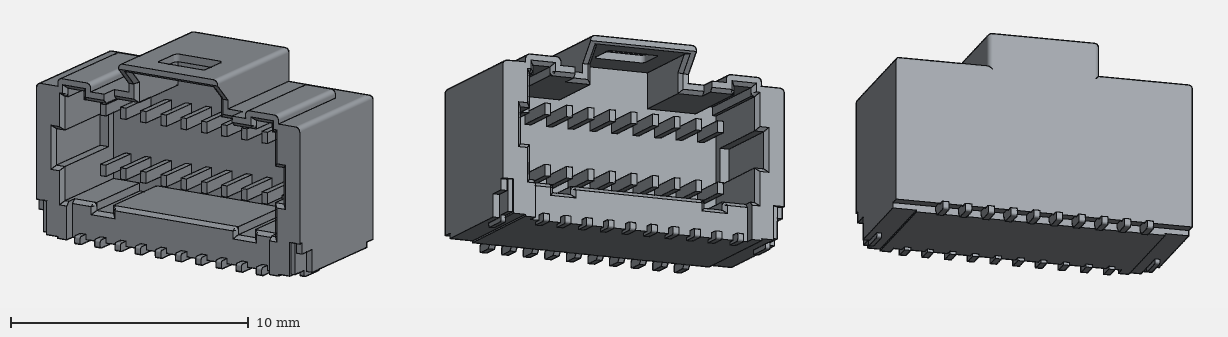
import cadquery as cq

width = 13.0
depth = 5.9
overall_depth = 6.5
overall_height = 8.25
body_top = 6.8
side_bottom = 0.21
centre_bottom = 0.13
centre_half_width = 5.46
edge_radius = 0.21
mouth_bevel = 0.17

front_recess_half_width = 5.0
front_recess_depth = 0.47
rear_step_depth = 0.5
rear_step_top = 0.44

cavity_half_width = 5.2
cavity_depth = 4.1
cavity_floor = 1.78
cavity_top = 6.36
floor_groove_inner = 3.08
floor_groove_outer = 3.91
floor_groove_bottom = 1.43
top_groove_inner = 4.25
top_groove_outer = 5.05
top_groove_top = 6.73
side_groove_outer = 5.62
side_groove_bottom = 3.28
side_groove_top = 4.88
side_groove_depth = 3.69

rail_inner = 3.82
rail_outer = 5.45
rail_top = 7.16
rail_length = 4.59

hood_half_width = 2.45
hood_inner_half_width = 2.03
hood_inner_top = 7.92
hood_lip_thickness = 0.25
cutout_half_width = 3.16
cutout_depth = 0.82
window_half_width = 1.16
window_front = 1.03
window_rear = 2.54
window_front_radius = 0.12
window_rear_radius = 0.21

contact_count = 10
contact_span = 8.97
contact_pitch = contact_span / (contact_count - 1)
contact_width = 0.27
pin_height = 0.5
pin_row_bottoms = (2.5, 5.15)
pin_tip = 2.08
foot_height = 0.36
foot_radius = 0.1
front_foot_length = 0.82
rear_foot_flat_end = 5.64
rear_foot_shoulder = 6.0
rear_foot_bend_height = 0.26

nail_inset = 0.29
nail_thickness = 0.21
nail_setback = 0.09
nail_top = 1.69
nail_foot_start = 0.82
nail_foot_end = 2.08
nail_foot_height = 0.29
corner_recess_depth = 1.0
corner_recess_top = 1.21
corner_slot_depth = 0.2


def block(x_range, y_range, z_range):
    """Box spanning the given (low, high) ranges."""
    size = [high - low for low, high in (x_range, y_range, z_range)]
    corner = (x_range[0], y_range[0], z_range[0])
    return cq.Workplane("XY").box(*size, centered=False).translate(corner)


def both_sides(solid):
    """The solid together with its mirror image across X = 0."""
    return solid.union(solid.mirror("YZ"))


def cavity_outline(y):
    """Cavity outline, without the side grooves, on the plane at the given Y."""
    right_half = [
        (floor_groove_inner, cavity_floor),
        (floor_groove_inner, floor_groove_bottom),
        (floor_groove_outer, floor_groove_bottom),
        (floor_groove_outer, cavity_floor),
        (cavity_half_width, cavity_floor),
        (cavity_half_width, cavity_top),
        (top_groove_outer, cavity_top),
        (top_groove_outer, top_groove_top),
        (top_groove_inner, top_groove_top),
        (top_groove_inner, cavity_top),
    ]
    left_half = [(-x, z) for x, z in reversed(right_half)]
    return cq.Workplane("XZ", origin=(0, y, 0)).polyline(right_half + left_half).close()


def side_groove_outline(y):
    """Rectangle joining both side grooves, on the plane at the given Y."""
    height = side_groove_top - side_groove_bottom
    middle = (side_groove_top + side_groove_bottom) / 2
    return cq.Workplane("XZ", origin=(0, y, middle)).rect(2 * side_groove_outer, height)


def bevel_cutter(outline):
    """Cutter as wide as the bevel at its outline plane, narrowing at 45 degrees towards +Y."""
    return outline.offset2D(mouth_bevel, "intersection").extrude(-mouth_bevel, taper=45)


def make_shell():
    """Outer body with the hood and the guide rails, still solid inside."""
    half = width / 2
    body = block((-half, half), (0, depth), (side_bottom, body_top))
    body = body.edges("(|Y and >Z) or (>Y and >Z)").fillet(edge_radius)
    hood = block((-hood_half_width, hood_half_width), (0, depth), (cavity_floor, overall_height))
    hood = hood.edges("(|Y and >Z) or (|Z and >Y) or (>Y and >Z)").fillet(edge_radius)
    rail = block((rail_inner, rail_outer), (0, rail_length), (cavity_top, rail_top))
    rail = rail.edges("|Y and >Z").fillet(edge_radius)
    centre = block(
        (-centre_half_width, centre_half_width), (0, depth), (centre_bottom, cavity_floor)
    )
    rear_step = block((-half, half), (depth - rear_step_depth, depth), (0, rear_step_top))
    return body.union(hood).union(both_sides(rail)).union(centre).cut(rear_step)


def cut_cavity(shell):
    """Open the cavity, the hood interior and the recessed front."""
    hood_room = block(
        (-hood_inner_half_width, hood_inner_half_width),
        (0, cavity_depth),
        (cavity_floor, hood_inner_top),
    )
    front_recess = block(
        (-front_recess_half_width, front_recess_half_width),
        (0, front_recess_depth),
        (0, (cavity_floor + cavity_top) / 2),
    )
    lip_bottom = overall_height - hood_lip_thickness
    top_cutout = (
        cq.Workplane("YZ")
        .polyline([
            (0, cavity_floor),
            (0, lip_bottom),
            (cutout_depth, lip_bottom - cutout_depth),
            (cutout_depth, cavity_floor),
        ])
        .close()
        .extrude(cutout_half_width, both=True)
    )
    shell = shell.cut(cavity_outline(0).extrude(-cavity_depth))
    shell = shell.cut(side_groove_outline(0).extrude(-side_groove_depth))
    return shell.cut(hood_room).cut(front_recess).cut(top_cutout)


def both_edge_groups(low, high):
    """Selector for edges centred in the box from low to high or in its mirror image across X = 0."""
    right, left = [
        cq.selectors.BoxSelector((side * low[0], *low[1:]), (side * high[0], *high[1:]))
        for side in (1, -1)
    ]
    return right + left


def bevel_mouth(shell):
    """Lead-in bevels around the cavity mouth, the recessed front wall and the hood opening."""
    bevel_end = cutout_depth + mouth_bevel
    hood_edges = both_edge_groups(
        (hood_inner_half_width - mouth_bevel, 0, cavity_top - mouth_bevel),
        (hood_inner_half_width + mouth_bevel, bevel_end, hood_inner_top),
    )
    cutout_edges = both_edge_groups(
        (hood_inner_half_width, cutout_depth - mouth_bevel, cavity_top - mouth_bevel),
        (cutout_half_width - mouth_bevel, bevel_end, cavity_top + mouth_bevel),
    )
    shell = shell.edges(hood_edges + cutout_edges).chamfer(mouth_bevel)
    recessed_floor = block(
        (-front_recess_half_width, front_recess_half_width), (0, depth), (0, side_groove_bottom)
    )
    for outline in (cavity_outline(0), side_groove_outline(0)):
        shell = shell.cut(bevel_cutter(outline))
    floor_bevel = bevel_cutter(cavity_outline(front_recess_depth)).intersect(recessed_floor)
    return shell.cut(floor_bevel)


def make_window():
    """Latch window through the hood roof."""
    window = block(
        (-window_half_width, window_half_width),
        (window_front, window_rear),
        (cavity_top, overall_height),
    )
    window = window.edges("|Z and <Y").fillet(window_front_radius)
    return window.edges("|Z and >Y").fillet(window_rear_radius)


def make_contact():
    """One contact position at X = 0: two pins, a front foot and a rear foot."""
    x_range = (-contact_width / 2, contact_width / 2)
    front_foot = block(x_range, (0, front_foot_length), (0, foot_height))
    front_foot = front_foot.edges("|X and <Y").fillet(foot_radius)
    rear_foot = (
        cq.Workplane("YZ")
        .polyline([
            (overall_depth, 0),
            (overall_depth, foot_height),
            (rear_foot_shoulder, foot_height),
            (depth, rear_step_top),
            (depth - rear_step_depth, rear_step_top),
            (depth - rear_step_depth, rear_foot_bend_height),
            (rear_foot_flat_end, 0),
        ])
        .close()
        .extrude(contact_width / 2, both=True)
    )
    contact = front_foot.union(rear_foot.edges("|X and >Y").fillet(foot_radius))
    for bottom in pin_row_bottoms:
        pin = block(x_range, (pin_tip, depth - edge_radius), (bottom, bottom + pin_height))
        contact = contact.union(pin)
    return contact


def make_corner_recess():
    """Relief in the right lower corner that exposes the solder nail."""
    half = width / 2
    x_range = (half - nail_inset - nail_thickness, half)
    recess = block(x_range, (0, corner_recess_depth), (0, corner_recess_top))
    return recess.union(block(x_range, (0, corner_slot_depth), (0, nail_top)))


def make_nail():
    """Right solder nail: an upright plate with a foot behind its lower notch."""
    outer = width / 2 - nail_inset
    x_range = (outer - nail_thickness, outer)
    plate = block(x_range, (nail_setback, nail_foot_end), (nail_foot_height, nail_top))
    foot = block(x_range, (nail_foot_start, nail_foot_end), (0, nail_foot_height))
    foot = foot.faces("<Z").edges("|X").fillet(foot_radius)
    return plate.union(foot)


housing = bevel_mouth(cut_cavity(make_shell()))
housing = housing.cut(make_window()).cut(both_sides(make_corner_recess()))
result = housing.union(both_sides(make_nail()))
contact = make_contact()
for index in range(contact_count):
    x = (index - (contact_count - 1) / 2) * contact_pitch
    result = result.union(contact.translate((x, 0, 0)))